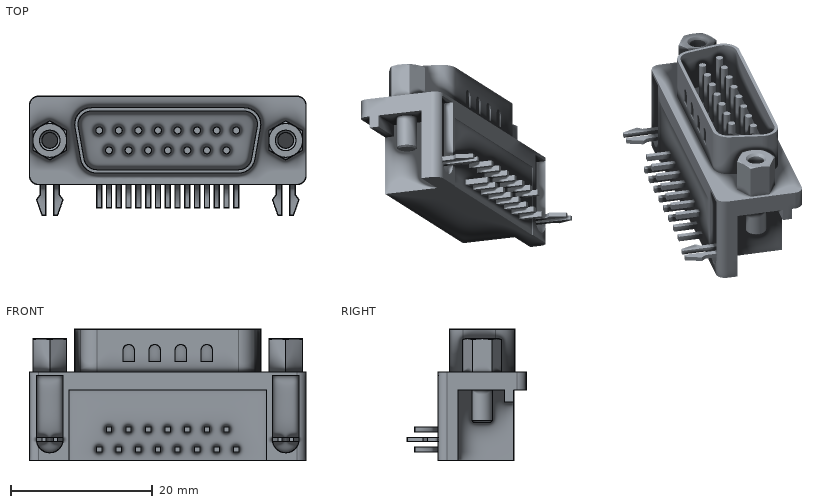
import cadquery as cq
import math

LENGTH = 39.15
DEPTH = 12.52
HEIGHT = 12.52
CORNER_RADIUS = 1.35
FLANGE_THICKNESS = 2.6
WALL_THICKNESS = 2.8
BLOCK_LENGTH = 27.95
BLOCK_BACK_Y = 4.5
PANEL_RECESS = 0.1
FRONT_Y = -DEPTH / 2

RIB_WIDTH = 1.35
RIB_HEIGHT = 1.65

SHELL_HEIGHT = 6.05
SHELL_DEPTH = 9.25
SHELL_LENGTH = 26.3
SHELL_RADIUS = 2.35
SHELL_WALL = 0.47
FLANK_ANGLE = math.radians(10)

DIMPLE_COUNT = 4
DIMPLE_PITCH = 3.68
DIMPLE_WIDTH = 1.6
DIMPLE_HEIGHT = 2.4
DIMPLE_BOTTOM_Z = 1.5
DIMPLE_DEPTH = 0.25

BACK_ROW_COUNT = 8
FRONT_ROW_COUNT = BACK_ROW_COUNT - 1
BACK_ROW_SPAN = 19.37
CONTACT_PITCH = BACK_ROW_SPAN / (BACK_ROW_COUNT - 1)
ROW_SPACING = 2.8
PIN_DIAMETER = 0.98
PIN_HEIGHT = 5.9
TAIL_SIZE = 0.75
TAIL_LENGTH = 3.3
TAIL_CENTRE_Z = -9.55

SCREW_X = 16.67
HEX_ACROSS_FLATS = 4.78
HEX_HEIGHT = 4.7
HEX_CHAMFER = 0.15
BORE_DIAMETER = 2.25
BORE_MOUTH_DIAMETER = 2.9
STUD_DIAMETER = 2.9
STUD_END_Z = -7.12
STUD_CHAMFER = 0.25

SLOT_WIDTH = 3.75
SLOT_TOP_Z = -0.47
SLOT_DEPTH = 1.4
CLIP_THICKNESS = 0.6
CLIP_LENGTH = 4.35
CLIP_GAP = 1.1
BRIDGE_DEPTH = 0.1
LEG_OUTER = 1.37
BARB_OUTER = 1.88
BARB_START = 1.45
BARB_PEAK = 2.1
LEG_TIP_OUTER = 1.1

OVERLAP = 0.4


def box(x_range, y_range, z_range):
    sizes = [high - low for low, high in (x_range, y_range, z_range)]
    corner = (x_range[0], y_range[0], z_range[0])
    return cq.Workplane("XY").box(*sizes, centered=False).translate(corner)


def row_positions(count, pitch):
    return [(i - (count - 1) / 2) * pitch for i in range(count)]


def housing():
    half = LENGTH / 2
    block_half = BLOCK_LENGTH / 2
    flange = (
        cq.Workplane("XY")
        .box(LENGTH, DEPTH, FLANGE_THICKNESS, centered=(True, True, False))
        .translate((0, 0, -FLANGE_THICKNESS))
        .edges("|Z")
        .fillet(CORNER_RADIUS)
    )
    wall = box((-half, half), (FRONT_Y, FRONT_Y + WALL_THICKNESS), (-HEIGHT, 0))
    wall = wall.edges("|Z and <Y").fillet(CORNER_RADIUS)
    block = box((-block_half, block_half), (FRONT_Y + OVERLAP, BLOCK_BACK_Y), (-HEIGHT, 0))
    rib = box(
        (-half, half),
        (BLOCK_BACK_Y - RIB_WIDTH, BLOCK_BACK_Y),
        (-FLANGE_THICKNESS - RIB_HEIGHT, -FLANGE_THICKNESS),
    )
    panel = box(
        (-block_half, block_half),
        (FRONT_Y, FRONT_Y + PANEL_RECESS),
        (-HEIGHT, -FLANGE_THICKNESS),
    )
    return flange.union(wall).union(block).union(rib).cut(panel)


def shell_prism(inset):
    """D-shaped prism on the flange, its outline moved inwards by inset."""
    radius = SHELL_RADIUS - inset
    centre_y = SHELL_DEPTH / 2 - SHELL_RADIUS
    back_x = SHELL_LENGTH / 2 - SHELL_RADIUS
    front_x = back_x - 2 * centre_y * math.tan(FLANK_ANGLE)

    def on_arc(x, y, angle):
        return (x + radius * math.cos(angle), y + radius * math.sin(angle))

    def mirrored(point):
        return (-point[0], point[1])

    right_angle = math.pi / 2
    back_end = on_arc(back_x, centre_y, right_angle)
    back_mid = on_arc(back_x, centre_y, (right_angle - FLANK_ANGLE) / 2)
    flank_back = on_arc(back_x, centre_y, -FLANK_ANGLE)
    flank_front = on_arc(front_x, -centre_y, -FLANK_ANGLE)
    front_mid = on_arc(front_x, -centre_y, -(right_angle + FLANK_ANGLE) / 2)
    front_end = on_arc(front_x, -centre_y, -right_angle)
    return (
        cq.Workplane("XY")
        .moveTo(*mirrored(back_end))
        .lineTo(*back_end)
        .threePointArc(back_mid, flank_back)
        .lineTo(*flank_front)
        .threePointArc(front_mid, front_end)
        .lineTo(*mirrored(front_end))
        .threePointArc(mirrored(front_mid), mirrored(flank_front))
        .lineTo(*mirrored(flank_back))
        .threePointArc(mirrored(back_mid), mirrored(back_end))
        .close()
        .extrude(SHELL_HEIGHT)
    )


def shell():
    body = shell_prism(0).cut(shell_prism(SHELL_WALL))
    half = DIMPLE_WIDTH / 2
    side_height = DIMPLE_HEIGHT - half
    for x in row_positions(DIMPLE_COUNT, DIMPLE_PITCH):
        dimple = (
            cq.Workplane("XZ", origin=(x, -SHELL_DEPTH / 2 + DIMPLE_DEPTH, DIMPLE_BOTTOM_Z))
            .moveTo(-half, 0)
            .lineTo(half, 0)
            .lineTo(half, side_height)
            .threePointArc((0, DIMPLE_HEIGHT), (-half, side_height))
            .close()
            .extrude(DIMPLE_DEPTH)
        )
        body = body.cut(dimple)
    return body


def contact_row(count, row_offset):
    """Round pins inside the shell and the square tails of the same contacts."""
    positions = row_positions(count, CONTACT_PITCH)
    pins = (
        cq.Workplane("XY", origin=(0, row_offset, -OVERLAP))
        .pushPoints([(x, 0) for x in positions])
        .circle(PIN_DIAMETER / 2)
        .extrude(PIN_HEIGHT + OVERLAP)
    )
    root_y = FRONT_Y + PANEL_RECESS + OVERLAP
    tails = (
        cq.Workplane("XZ", origin=(0, root_y, TAIL_CENTRE_Z - row_offset))
        .pushPoints([(x, 0) for x in positions])
        .rect(TAIL_SIZE, TAIL_SIZE)
        .extrude(TAIL_LENGTH + PANEL_RECESS + OVERLAP)
    )
    return pins.union(tails)


def jack_screw(x):
    corner_diameter = HEX_ACROSS_FLATS / math.cos(math.pi / 6)
    head = (
        cq.Workplane("XY")
        .polygon(6, corner_diameter)
        .extrude(HEX_HEIGHT)
        .rotate((0, 0, 0), (0, 0, 1), 30)
    )
    corner_radius = corner_diameter / 2
    flat_radius = HEX_ACROSS_FLATS / 2
    envelope = (
        cq.Workplane("XZ")
        .lineTo(corner_radius, 0)
        .lineTo(corner_radius, HEX_HEIGHT - HEX_CHAMFER)
        .lineTo(flat_radius, HEX_HEIGHT)
        .lineTo(0, HEX_HEIGHT)
        .close()
        .revolve()
    )
    bore_radius = BORE_DIAMETER / 2
    mouth_radius = BORE_MOUTH_DIAMETER / 2
    mouth_depth = mouth_radius - bore_radius
    bore = (
        cq.Workplane("XZ")
        .lineTo(bore_radius, 0)
        .lineTo(bore_radius, HEX_HEIGHT - mouth_depth)
        .lineTo(mouth_radius, HEX_HEIGHT)
        .lineTo(0, HEX_HEIGHT)
        .close()
        .revolve()
    )
    stud = (
        cq.Workplane("XY", origin=(0, 0, STUD_END_Z))
        .circle(STUD_DIAMETER / 2)
        .extrude(-STUD_END_Z)
        .faces("<Z")
        .chamfer(STUD_CHAMFER)
    )
    return head.intersect(envelope).cut(bore).union(stud).translate((x, 0, 0))


def clip_slot(x):
    half = SLOT_WIDTH / 2
    return (
        cq.Workplane("XZ", origin=(x, FRONT_Y + SLOT_DEPTH, 0))
        .moveTo(-half, SLOT_TOP_Z)
        .lineTo(-half, TAIL_CENTRE_Z)
        .threePointArc((0, TAIL_CENTRE_Z - half), (half, TAIL_CENTRE_Z))
        .lineTo(half, SLOT_TOP_Z)
        .close()
        .extrude(SLOT_DEPTH)
    )


def clip(x):
    """Two barbed legs joined by a bridge that stands on the slot floor."""
    root_y = FRONT_Y + SLOT_DEPTH + OVERLAP
    bridge_y = FRONT_Y + SLOT_DEPTH - BRIDGE_DEPTH
    tip_y = FRONT_Y - CLIP_LENGTH
    half = (
        cq.Workplane("XY", origin=(0, 0, TAIL_CENTRE_Z - CLIP_THICKNESS / 2))
        .moveTo(0, root_y)
        .lineTo(LEG_OUTER, root_y)
        .lineTo(LEG_OUTER, FRONT_Y - BARB_START)
        .lineTo(BARB_OUTER, FRONT_Y - BARB_PEAK)
        .lineTo(LEG_TIP_OUTER, tip_y)
        .lineTo(CLIP_GAP / 2, tip_y)
        .lineTo(CLIP_GAP / 2, bridge_y)
        .lineTo(0, bridge_y)
        .close()
        .extrude(CLIP_THICKNESS)
    )
    return half.union(half.mirror("YZ")).translate((x, 0, 0))


result = housing().union(shell())
result = result.union(contact_row(BACK_ROW_COUNT, ROW_SPACING / 2))
result = result.union(contact_row(FRONT_ROW_COUNT, -ROW_SPACING / 2))
for screw_x in (-SCREW_X, SCREW_X):
    result = result.union(jack_screw(screw_x))
    result = result.cut(clip_slot(screw_x)).union(clip(screw_x))